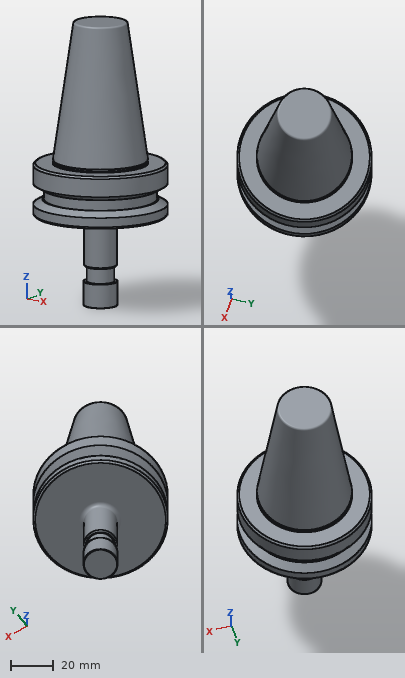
import cadquery as cq
import math

GAUGE_RADIUS = 44.45 / 2
TAPER_LENGTH = 65.4
RADIUS_DROP_PER_LENGTH = 7 / 24 / 2
TAPER_TIP_FILLET = 1.0
GAUGE_BAND_LENGTH = 0.4

RELIEF_RADIUS = 21.9
RELIEF_CORNER = 0.3
RELIEF_FOOT_FLARE = 0.5

FLANGE_RADIUS = 31.5
FLANGE_TOP_Z = -2.0
FLANGE_BOTTOM_Z = -27.0
FLANGE_EDGE_CHAMFER = 1.0
GROOVE_CENTRE_Z = -16.6
GROOVE_MOUTH_WIDTH = 10.0
GROOVE_FLOOR_RADIUS = 26.5
GROOVE_LEDGE_RADIUS = 27.2
GROOVE_FLANK_ANGLE = 30.0

STEM_RADIUS = 7.75
HEAD_RADIUS = 8.0
STEM_BOTTOM_Z = -70.0
STEM_ROOT_FILLET = 2.0
NECK_RADIUS = 6.5
NECK_TOP_Z = -51.4
HEAD_TOP_Z = -58.4
STEM_SHOULDER_CHAMFER = 0.8
HEAD_TOP_CHAMFER = 0.2
HEAD_END_CHAMFER = 0.3

SELECTION_MARGIN = 0.01


def revolve_outline(points):
    """Revolve a closed (radius, z) outline about the Z axis."""
    return cq.Workplane("XZ").polyline(points).close().revolve(360, (0, 0, 0), (0, 1, 0))


def circle_edge(radius, z):
    """Selector for the circular edge of the given radius around the Z axis at height z."""

    def ring_box(half_size):
        low_corner = (-half_size, -half_size, z - SELECTION_MARGIN)
        high_corner = (half_size, half_size, z + SELECTION_MARGIN)
        return cq.selectors.BoxSelector(low_corner, high_corner, boundingbox=True)

    return ring_box(radius + SELECTION_MARGIN) - ring_box(radius - SELECTION_MARGIN)


def make_shank():
    tip_radius = GAUGE_RADIUS - TAPER_LENGTH * RADIUS_DROP_PER_LENGTH
    shank = revolve_outline([
        (0, FLANGE_TOP_Z),
        (RELIEF_RADIUS + RELIEF_FOOT_FLARE, FLANGE_TOP_Z),
        (RELIEF_RADIUS, FLANGE_TOP_Z + RELIEF_FOOT_FLARE),
        (RELIEF_RADIUS, -GAUGE_BAND_LENGTH - RELIEF_CORNER),
        (GAUGE_RADIUS, -GAUGE_BAND_LENGTH),
        (GAUGE_RADIUS, 0),
        (tip_radius, TAPER_LENGTH),
        (0, TAPER_LENGTH),
    ])
    return shank.edges(circle_edge(tip_radius, TAPER_LENGTH)).fillet(TAPER_TIP_FILLET)


def make_flange():
    flank_height = (FLANGE_RADIUS - GROOVE_LEDGE_RADIUS) * math.tan(math.radians(GROOVE_FLANK_ANGLE))
    mouth_top = GROOVE_CENTRE_Z + GROOVE_MOUTH_WIDTH / 2
    mouth_bottom = GROOVE_CENTRE_Z - GROOVE_MOUTH_WIDTH / 2
    flange = revolve_outline([
        (0, FLANGE_BOTTOM_Z),
        (FLANGE_RADIUS, FLANGE_BOTTOM_Z),
        (FLANGE_RADIUS, mouth_bottom),
        (GROOVE_LEDGE_RADIUS, mouth_bottom + flank_height),
        (GROOVE_FLOOR_RADIUS, mouth_bottom + flank_height),
        (GROOVE_FLOOR_RADIUS, mouth_top - flank_height),
        (GROOVE_LEDGE_RADIUS, mouth_top - flank_height),
        (FLANGE_RADIUS, mouth_top),
        (FLANGE_RADIUS, FLANGE_TOP_Z),
        (0, FLANGE_TOP_Z),
    ])
    for z in (FLANGE_TOP_Z, FLANGE_BOTTOM_Z):
        flange = flange.edges(circle_edge(FLANGE_RADIUS, z)).chamfer(FLANGE_EDGE_CHAMFER)
    return flange


def make_stem():
    return revolve_outline([
        (0, STEM_BOTTOM_Z),
        (HEAD_RADIUS - HEAD_END_CHAMFER, STEM_BOTTOM_Z),
        (HEAD_RADIUS, STEM_BOTTOM_Z + HEAD_END_CHAMFER),
        (HEAD_RADIUS, HEAD_TOP_Z - HEAD_TOP_CHAMFER),
        (HEAD_RADIUS - HEAD_TOP_CHAMFER, HEAD_TOP_Z),
        (NECK_RADIUS, HEAD_TOP_Z),
        (NECK_RADIUS, NECK_TOP_Z),
        (STEM_RADIUS - STEM_SHOULDER_CHAMFER, NECK_TOP_Z),
        (STEM_RADIUS, NECK_TOP_Z + STEM_SHOULDER_CHAMFER),
        (STEM_RADIUS, FLANGE_BOTTOM_Z),
        (0, FLANGE_BOTTOM_Z),
    ])


result = make_shank().union(make_flange()).union(make_stem())
result = result.edges(circle_edge(STEM_RADIUS, FLANGE_BOTTOM_Z)).fillet(STEM_ROOT_FILLET)